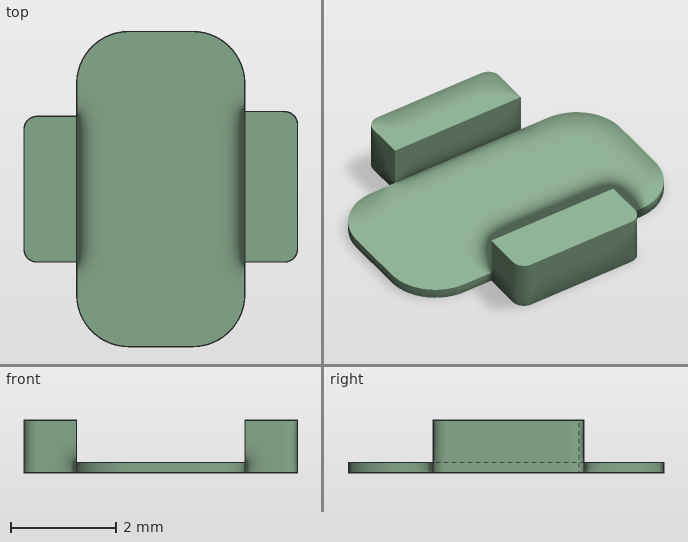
import cadquery as cq

plate_length = 5.99
plate_width = 3.2
plate_thickness = 0.2
plate_corner_radius = 0.995

block_width = 1.0
block_height = 1.0
block_corner_radius = 0.25
block_front_y = -1.39
left_block_length = 2.775
right_block_length = 2.865


def make_plate():
    """Flat plate with rounded corners."""
    plate = cq.Workplane("XY").box(
        plate_width, plate_length, plate_thickness, centered=(True, True, False)
    )
    return plate.edges("|Z").fillet(plate_corner_radius)


def make_block(side, length):
    """Block beside the plate, on -X (side = -1) or +X (side = 1), outer corners rounded."""
    centre_x = side * (plate_width + block_width) / 2
    centre_y = block_front_y + length / 2
    outer_face = ">X" if side > 0 else "<X"
    block = (
        cq.Workplane("XY")
        .center(centre_x, centre_y)
        .box(block_width, length, block_height, centered=(True, True, False))
    )
    return block.faces(outer_face).edges("|Z").fillet(block_corner_radius)


left_block = make_block(-1, left_block_length)
right_block = make_block(1, right_block_length)
result = make_plate().union(left_block).union(right_block)